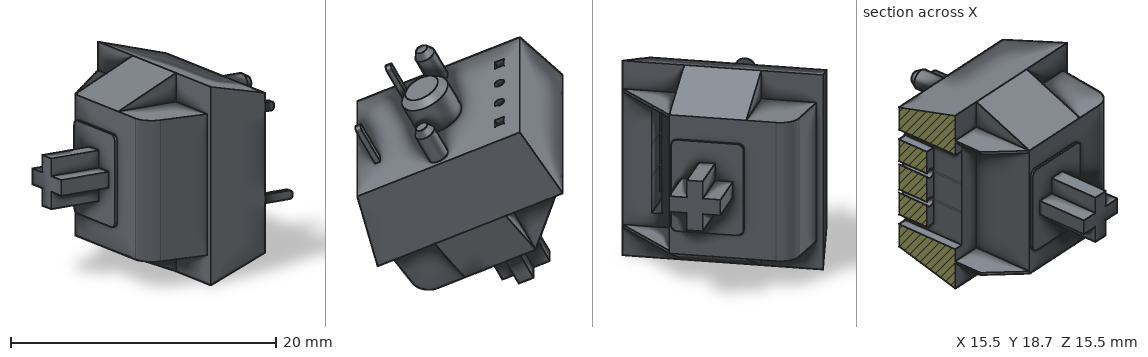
import cadquery as cq

housing_width = 15.5
half_width = housing_width / 2

base_depth = 5.52
base_rear_width = 13.61
base_rear_height = 12.5

cover_depth = 5.2
cover_height = 11.03
cover_half_core = 2.97
cover_right_root = 7.24
cover_right_tip = 6.58
cover_edge_radius = 1.5
rib_thickness = 0.22

plate_width = 5.61
plate_height = 7.25
plate_corner_radius = 0.47
plate_thickness = 0.2
stem_span = 3.96
stem_arm_width = 1.23
stem_length = 4.3

pin_pitch = 2.55
slot_x = -2 * pin_pitch
slot_width = 0.77
slot_height = 8.42
slot_depth = base_depth / 2
slot_end_opening = 0.82
lead_hole_diameter = 0.79

peg_length = 2.94
peg_tip_length = 0.56
center_peg_radius = 1.93
center_peg_tip_radius = 1.37
side_peg_radius = 0.795
side_peg_tip_radius = 0.47
side_peg_z = 2 * pin_pitch
contact_length = 3.48
contact_thickness = 0.43
contact_tip_radius = 0.3
contact_sites = [(pin_pitch, 1.5 * pin_pitch, 0.71), (2 * pin_pitch, -pin_pitch, 0.67)]


def rear_facing(y):
    """XZ workplane at the given Y whose extrusions run towards +Y, with local y along -Z."""
    return cq.Workplane(cq.Plane(origin=(0, y, 0), xDir=(1, 0, 0), normal=(0, 1, 0)))


def front_facing(y):
    """XZ workplane at the given Y whose extrusions run towards -Y, with local y along +Z."""
    return cq.Workplane("XZ", origin=(0, y, 0))


def make_base():
    return (
        rear_facing(0)
        .rect(housing_width, housing_width)
        .workplane(offset=base_depth)
        .rect(base_rear_width, base_rear_height)
        .loft(ruled=True)
    )


def make_cover():
    """Central block with a slanted right side and a rounded front right edge."""
    outline = [
        (-cover_half_core, 0),
        (-cover_half_core, -cover_depth),
        (cover_right_tip, -cover_depth),
        (cover_right_root, 0),
    ]
    block = cq.Workplane("XY").polyline(outline).close().extrude(cover_height / 2, both=True)
    return block.edges("|Z").edges("<Y").edges(">X").fillet(cover_edge_radius)


def make_slopes():
    """Ramps above and below the cover, from its front edge out to the base rim."""
    outline = [
        (0, half_width),
        (-cover_depth, cover_height / 2),
        (-cover_depth, -cover_height / 2),
        (0, -half_width),
    ]
    return cq.Workplane("YZ").polyline(outline).close().extrude(cover_half_core, both=True)


def make_rib(bottom_z):
    """Thin triangular web on the left of the cover."""
    corners = [(-half_width, 0), (-cover_half_core, -cover_depth), (-cover_half_core, 0)]
    return cq.Workplane("XY", origin=(0, 0, bottom_z)).polyline(corners).close().extrude(rib_thickness)


def make_plate():
    plate = front_facing(-cover_depth).rect(plate_width, plate_height).extrude(plate_thickness)
    return plate.edges("|Y").fillet(plate_corner_radius)


def make_stem():
    plane = front_facing(-cover_depth - plate_thickness)
    upright = plane.rect(stem_arm_width, stem_span).extrude(stem_length)
    return upright.union(plane.rect(stem_span, stem_arm_width).extrude(stem_length))


def make_peg(z, radius, tip_radius):
    """Round peg behind the base with a conical tip."""
    straight_end = base_depth + peg_length - peg_tip_length
    profile = [
        (0, base_depth),
        (radius, base_depth),
        (radius, straight_end),
        (tip_radius, base_depth + peg_length),
        (0, base_depth + peg_length),
    ]
    peg = cq.Workplane("XY").polyline(profile).close().revolve(360, (0, 0, 0), (0, 1, 0))
    return peg.translate((0, 0, z))


def make_contact(x, z, height):
    blade = rear_facing(base_depth).rect(contact_thickness, height).extrude(contact_length)
    return blade.edges("|X and >Y").fillet(contact_tip_radius).translate((x, 0, z))


def make_lamp_slot():
    """Blind slot with two square end openings and two round lead holes going right through."""
    plane = rear_facing(0)
    end_z = (slot_height - slot_end_opening) / 2
    cutter = plane.center(slot_x, 0).rect(slot_width, slot_height).extrude(slot_depth)
    ends = plane.pushPoints([(slot_x, -end_z), (slot_x, end_z)])
    cutter = cutter.union(ends.rect(slot_width, slot_end_opening).extrude(base_depth))
    leads = plane.pushPoints([(slot_x, -pin_pitch / 2), (slot_x, pin_pitch / 2)])
    return cutter.union(leads.circle(lead_hole_diameter / 2).extrude(base_depth))


result = make_base().cut(make_lamp_slot()).union(make_cover()).union(make_slopes())

for rib_bottom in (cover_height / 2 - rib_thickness, -cover_height / 2):
    result = result.union(make_rib(rib_bottom))

result = result.union(make_plate()).union(make_stem())

result = result.union(make_peg(0, center_peg_radius, center_peg_tip_radius))
for peg_z in (-side_peg_z, side_peg_z):
    result = result.union(make_peg(peg_z, side_peg_radius, side_peg_tip_radius))

for contact_x, contact_z, contact_height in contact_sites:
    result = result.union(make_contact(contact_x, contact_z, contact_height))